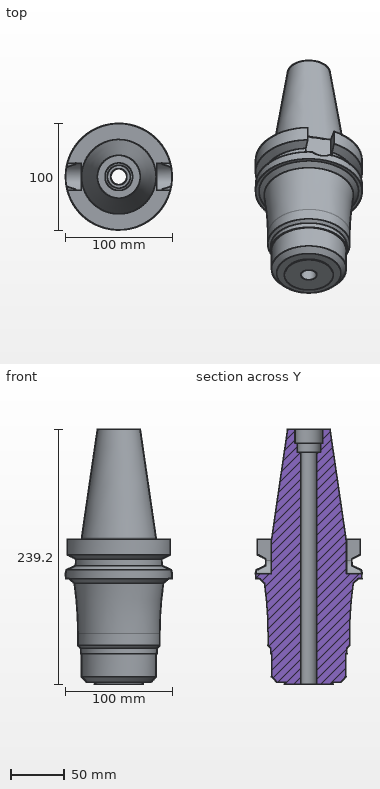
import cadquery as cq
import math

length = 239.2
flange_radius = 50.0

gauge_radius = 35.0
gauge_z = 137.3
taper_on_diameter = 7 / 24
shank_tip_radius = gauge_radius - (length - gauge_z) * taper_on_diameter / 2

flange_top_z = 136.0
flange_bottom_z = 99.0
groove_radius = 42.3
groove_top_z = 121.5
groove_bottom_z = 107.2
groove_side_height = 4.0

cone_top_radius = 46.6
neck_top_z = 94.7
neck_top_radius = 41.9
body_radius = 38.5
body_top_z = 48.0
body_bottom_z = 36.5

collar_radius = 35.9
collar_top_z = 33.7
nut_radius = 35.05
nut_top_z = 28.7
nut_edge_z = 7.2
nut_bottom_z = 2.0
nut_bottom_radius = 30.1
nose_radius = 23.0
nose_neck_radius = 21.8

slot_width = 25.4
slot_floor_x = 35.5
slot_bottom_z = 103.8

bore_radius = 13.0
bore_depth = 13.2
thread_radius = 10.8
thread_depth = 21.5
through_radius = 7.5


def neck_arc_midpoint():
    """Middle of the arc that leaves the body cylinder tangentially and reaches the neck top."""
    rise = neck_top_z - body_top_z
    flare = neck_top_radius - body_radius
    arc_radius = (rise**2 + flare**2) / (2 * flare)
    half_angle = math.asin(rise / arc_radius) / 2
    return (
        body_radius + arc_radius * (1 - math.cos(half_angle)),
        body_top_z + arc_radius * math.sin(half_angle),
    )


def make_body():
    """Revolve the outer half profile, drawn as (radius, z), about the Z axis."""
    profile = (
        cq.Workplane("XZ")
        .moveTo(0, 0)
        .lineTo(nose_radius, 0)
        .lineTo(nose_neck_radius, nut_bottom_z)
        .lineTo(nut_bottom_radius, nut_bottom_z)
        .lineTo(nut_radius, nut_edge_z)
        .lineTo(nut_radius, nut_top_z)
        .lineTo(collar_radius, nut_top_z)
        .lineTo(collar_radius, collar_top_z)
        .lineTo(body_radius, body_bottom_z)
        .lineTo(body_radius, body_top_z)
        .threePointArc(neck_arc_midpoint(), (neck_top_radius, neck_top_z))
        .lineTo(cone_top_radius, flange_bottom_z)
        .lineTo(flange_radius, flange_bottom_z)
        .lineTo(flange_radius, groove_bottom_z)
        .lineTo(groove_radius, groove_bottom_z + groove_side_height)
        .lineTo(groove_radius, groove_top_z - groove_side_height)
        .lineTo(flange_radius, groove_top_z)
        .lineTo(flange_radius, flange_top_z)
        .lineTo(gauge_radius, flange_top_z)
        .lineTo(gauge_radius, gauge_z)
        .lineTo(shank_tip_radius, length)
        .lineTo(0, length)
        .close()
    )
    return profile.revolve(360, (0, 0, 0), (0, 1, 0))


def make_drive_slot(side):
    """Round-bottomed slot, open at the top, on the +X (side=1) or -X (side=-1) flank."""
    half_width = slot_width / 2
    arc_center_z = slot_bottom_z + half_width
    return (
        cq.Workplane("YZ", origin=(side * slot_floor_x, 0, 0))
        .moveTo(-half_width, flange_top_z)
        .lineTo(-half_width, arc_center_z)
        .threePointArc((0, slot_bottom_z), (half_width, arc_center_z))
        .lineTo(half_width, flange_top_z)
        .close()
        .extrude(side * flange_radius)
    )


def make_bore_step(radius, depth):
    """Cylinder going down from the shank tip."""
    return cq.Workplane("XY").workplane(offset=length - depth).circle(radius).extrude(depth)


result = make_body()
for side in (-1, 1):
    result = result.cut(make_drive_slot(side))
for radius, depth in (
    (bore_radius, bore_depth),
    (thread_radius, thread_depth),
    (through_radius, length),
):
    result = result.cut(make_bore_step(radius, depth))